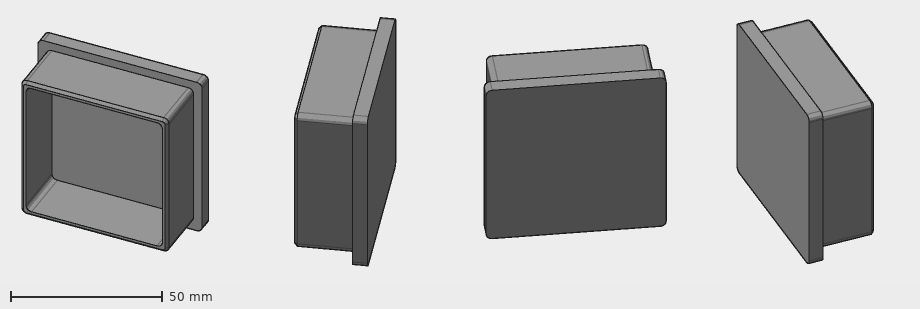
import cadquery as cq

flange_side = 60.0
flange_thickness = 5.0
flange_corner_radius = 2.0

total_depth = 25.0
plug_side = 53.8
plug_corner_radius = 2.0
lead_in_chamfer = 1.0

wall = 2.0
cavity_side = plug_side - 2 * wall
cavity_corner_radius = 2.0
cavity_floor_thickness = 5.0

plug_length = total_depth - flange_thickness
cavity_depth = total_depth - cavity_floor_thickness


def rounded_square_block(side, corner_radius, start_y, length):
    """Square block along +Y from start_y, centred on the Y axis, with rounded long edges."""
    return (
        cq.Workplane("XY")
        .box(side, length, side, centered=(True, False, True))
        .edges("|Y")
        .fillet(corner_radius)
        .translate((0, start_y, 0))
    )


def make_flange():
    return rounded_square_block(flange_side, flange_corner_radius, plug_length, flange_thickness)


def make_plug():
    plug = rounded_square_block(plug_side, plug_corner_radius, 0, plug_length)
    return plug.faces("<Y").chamfer(lead_in_chamfer)


def make_cavity():
    return rounded_square_block(cavity_side, cavity_corner_radius, 0, cavity_depth)


result = make_flange().union(make_plug()).cut(make_cavity())